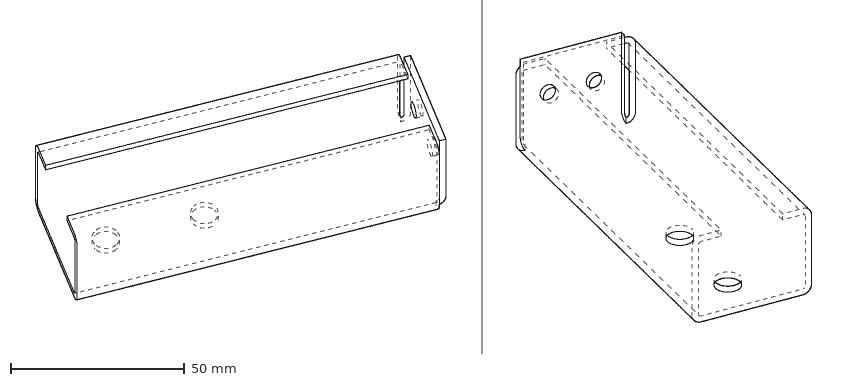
import cadquery as cq

width = 39.0
length = 113.0
height = 29.0

thickness = 2.0
inner_radius = 0.96
outer_radius = inner_radius + thickness

lip_opening = 20.0
channel_length = length - outer_radius
tab_width = width - 2 * outer_radius

tab_hole_diameter = 5.0
tab_hole_spacing = 15.0
tab_hole_height = 15.5
floor_hole_diameter = 8.0
floor_hole_spacing = 30.0
first_floor_hole_y = 15.0


def make_channel():
    """C-shaped channel along Y, open between the two top lips."""
    outer = (
        cq.Workplane("XY")
        .box(width, channel_length, height, centered=(True, False, False))
        .edges("|Y")
        .fillet(outer_radius)
    )
    inner = (
        cq.Workplane("XY")
        .box(
            width - 2 * thickness,
            channel_length,
            height - 2 * thickness,
            centered=(True, False, False),
        )
        .translate((0, 0, thickness))
        .edges("|Y")
        .fillet(inner_radius)
    )
    opening = (
        cq.Workplane("XY")
        .box(lip_opening, channel_length, height / 2, centered=(True, False, False))
        .translate((0, 0, height / 2))
    )
    return outer.cut(inner).cut(opening)


def make_end_tab():
    """Bend and upright tab continuing from the back edge of the floor."""
    bend_and_tab = (
        cq.Workplane("YZ")
        .moveTo(channel_length, 0)
        .radiusArc((length, outer_radius), -outer_radius)
        .lineTo(length, height)
        .lineTo(length - thickness, height)
        .lineTo(length - thickness, outer_radius)
        .radiusArc((channel_length, thickness), inner_radius)
        .close()
        .extrude(tab_width / 2, both=True)
    )
    holes = (
        cq.Workplane("XZ", origin=(0, length, 0))
        .pushPoints([(side * tab_hole_spacing / 2, tab_hole_height) for side in (-1, 1)])
        .circle(tab_hole_diameter / 2)
        .extrude(thickness)
    )
    return bend_and_tab.cut(holes)


def make_floor_holes():
    """Cutters for the two holes on the centre line of the floor."""
    return (
        cq.Workplane("XY")
        .pushPoints([(0, first_floor_hole_y + i * floor_hole_spacing) for i in range(2)])
        .circle(floor_hole_diameter / 2)
        .extrude(thickness)
    )


result = make_channel().union(make_end_tab()).cut(make_floor_holes())